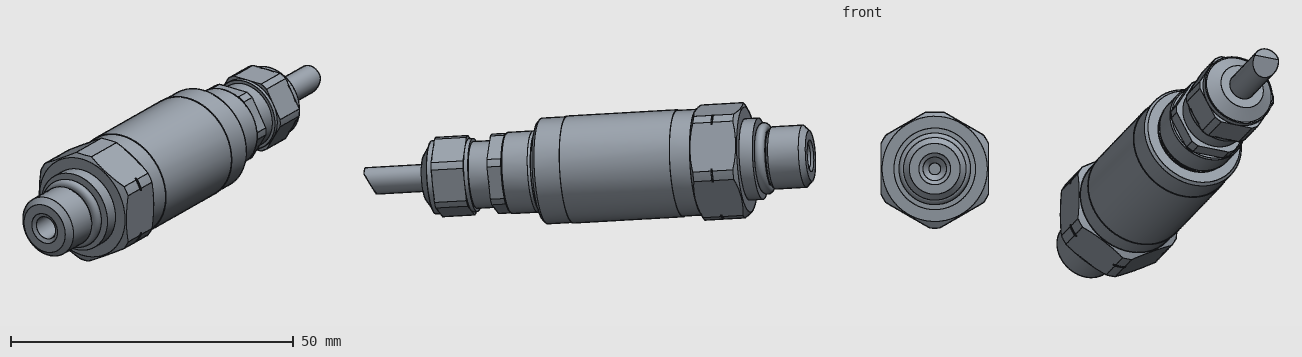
import cadquery as cq
import math

LENGTH = 80.2

THREAD_R = 5.5
TIP_CHAMFER = 1.05
THREAD_RELIEF = 0.5
GROOVE_FRONT = 7.05

BORE_MOUTH_R = 2.8
BORE_MOUTH_DEPTH = 0.4
BORE_R = 2.1
BORE_TIP_R = 1.05
BORE_DEPTH = 6.4

RING_OUTER_R = 6.3
RING_SECTION_R = 0.92
RING_MID_R = RING_OUTER_R - RING_SECTION_R

COLLAR_R = 7.2
COLLAR_FRONT = 9.0
HEX_FRONT = 11.4
HEX_BACK = 19.9
HEX_FLATS = 19.0
HEX_CORNER_R = 10.5
HEX_FACE_R = 9.3
HEX_CHAMFER = 0.65
HEX_TOP_FLAT_Z = 10.0
NOTCH_FLOOR_R = 10.35
NOTCH_WIDTH = 0.25
NOTCH_Y = 15.9

HOUSING_R = 9.4
BAND_R = HEX_FLATS / 2
BAND_FRONT = 23.5
BAND_BACK = 43.4
HOUSING_BACK = 48.45
HOUSING_CHAMFER = 0.5

GLAND_GROOVE_R = 6.7
GLAND_LIP_R = 7.0
GLAND_GROOVE_FRONT = 48.7
GLAND_GROOVE_BACK = 49.2
GLAND_FLANGE_R = 7.2
GLAND_FLANGE_FRONT = 49.65
GLAND_FLANGE_BACK = 54.5
GLAND_FLANGE_CHAMFER = 0.25
GLAND_FLATS = 13.0
GLAND_CORNER_R = 7.1
GLAND_BODY_HEX_BACK = 56.95
GLAND_NECK_R = 5.9
NUT_FRONT = 60.6
NUT_HEX_FRONT = 61.3
NUT_HEX_BACK = 67.1
NUT_BACK = 68.0
NUT_R = GLAND_FLATS / 2
NOSE_BASE_R = 6.25
NOSE_TIP_R = 4.1
NOSE_BACK = 69.5

CABLE_R = 2.4
CABLE_CUT = 1.8
CABLE_CUT_TOP_Z = 0.7


def turned(points):
    """Solid of revolution about Y through (radius, y) points, closed along the axis."""
    axis_points = [(0, points[0][1]), *points, (0, points[-1][1])]
    return cq.Workplane("XY").polyline(axis_points).close().revolve(360, (0, 0), (0, 1))


def cylinder(radius, front, back):
    return turned([(radius, front), (radius, back)])


def hexagon(flats, corner_r, front, back, first_corner):
    """Hexagonal prism along Y with rounded corners, first_corner in degrees from +X."""
    radius = flats / 2 / math.cos(math.pi / 6)
    angles = [math.radians(first_corner + 60 * i) for i in range(6)]
    corners = [(radius * math.cos(a), radius * math.sin(a)) for a in angles]
    prism = cq.Workplane("XZ", origin=(0, front, 0)).polyline(corners).close().extrude(front - back)
    return prism.intersect(cylinder(corner_r, front, back))


def port():
    stub = turned([
        (THREAD_R - TIP_CHAMFER, 0),
        (THREAD_R, TIP_CHAMFER),
        (THREAD_R, GROOVE_FRONT - THREAD_RELIEF),
        (THREAD_R - THREAD_RELIEF, GROOVE_FRONT),
    ])
    groove_floor = cylinder(RING_MID_R - RING_SECTION_R, GROOVE_FRONT, COLLAR_FRONT)
    return stub.union(groove_floor).union(cylinder(COLLAR_R, COLLAR_FRONT, HEX_FRONT))


def wrench_hexagon():
    hexa = hexagon(HEX_FLATS, HEX_CORNER_R, HEX_FRONT, HEX_BACK, 30)
    edge_cone = turned([
        (HEX_FACE_R, HEX_FRONT),
        (HEX_CORNER_R, HEX_FRONT + HEX_CHAMFER),
        (HEX_CORNER_R, HEX_BACK - HEX_CHAMFER),
        (HEX_FACE_R, HEX_BACK),
    ])
    notch_front = NOTCH_Y - NOTCH_WIDTH / 2
    notch_back = NOTCH_Y + NOTCH_WIDTH / 2
    notch = cylinder(2 * HEX_CORNER_R, notch_front, notch_back).cut(
        cylinder(NOTCH_FLOOR_R, notch_front, notch_back))
    above_flat = cq.Workplane("XY", origin=(0, NOTCH_Y, HEX_TOP_FLAT_Z)).box(
        HEX_FLATS, HEX_FLATS, HEX_FLATS, centered=(True, True, False))
    return hexa.intersect(edge_cone).cut(notch).cut(above_flat)


def housing_shell():
    shell = turned([
        (HOUSING_R, HEX_BACK),
        (HOUSING_R, HOUSING_BACK - HOUSING_CHAMFER),
        (HOUSING_R - HOUSING_CHAMFER, HOUSING_BACK),
    ])
    return shell.union(cylinder(BAND_R, BAND_FRONT, BAND_BACK))


def gland_body():
    base = turned([
        (GLAND_LIP_R, HOUSING_BACK),
        (GLAND_LIP_R, GLAND_GROOVE_FRONT),
        (GLAND_GROOVE_R, GLAND_GROOVE_FRONT),
        (GLAND_GROOVE_R, GLAND_GROOVE_BACK),
        (GLAND_LIP_R, GLAND_GROOVE_BACK),
        (GLAND_FLANGE_R, GLAND_FLANGE_FRONT),
        (GLAND_FLANGE_R, GLAND_FLANGE_BACK - GLAND_FLANGE_CHAMFER),
        (GLAND_FLANGE_R - GLAND_FLANGE_CHAMFER, GLAND_FLANGE_BACK),
    ])
    hexa = hexagon(GLAND_FLATS, GLAND_CORNER_R, GLAND_FLANGE_BACK, GLAND_BODY_HEX_BACK, 0)
    neck = cylinder(GLAND_NECK_R, GLAND_BODY_HEX_BACK, NUT_FRONT)
    return base.union(hexa).union(neck)


def gland_nut():
    barrel = cylinder(NUT_R, NUT_FRONT, NUT_BACK)
    hexa = hexagon(GLAND_FLATS, GLAND_CORNER_R, NUT_HEX_FRONT, NUT_HEX_BACK, 0)
    nose = turned([(NOSE_BASE_R, NUT_BACK), (NOSE_TIP_R, NOSE_BACK)])
    return barrel.union(hexa).union(nose)


def cable():
    """Round cable whose end is square at the top and slopes back underneath."""
    profile = [
        (NOSE_BACK, -CABLE_R),
        (LENGTH - CABLE_CUT, -CABLE_R),
        (LENGTH, CABLE_CUT_TOP_Z),
        (LENGTH, CABLE_R),
        (NOSE_BACK, CABLE_R),
    ]
    side = cq.Workplane("YZ").polyline(profile).close().extrude(CABLE_R, both=True)
    return cylinder(CABLE_R, NOSE_BACK, LENGTH).intersect(side)


def pressure_bore():
    return turned([
        (BORE_MOUTH_R, 0),
        (BORE_R, BORE_MOUTH_DEPTH),
        (BORE_R, BORE_DEPTH),
        (BORE_TIP_R, BORE_DEPTH + BORE_R - BORE_TIP_R),
    ])


def transmitter():
    body = port()
    for section in (wrench_hexagon(), housing_shell(), gland_body(), gland_nut(), cable()):
        body = body.union(section)
    return body.cut(pressure_bore())


def seal_ring():
    """O-ring lying against the collar, on the floor of the groove."""
    section = cq.Workplane("XY").center(RING_MID_R, COLLAR_FRONT - RING_SECTION_R).circle(RING_SECTION_R)
    return section.revolve(360, (-RING_MID_R, 0), (-RING_MID_R, 1))


result = cq.Compound.makeCompound([transmitter().val(), seal_ring().val()])